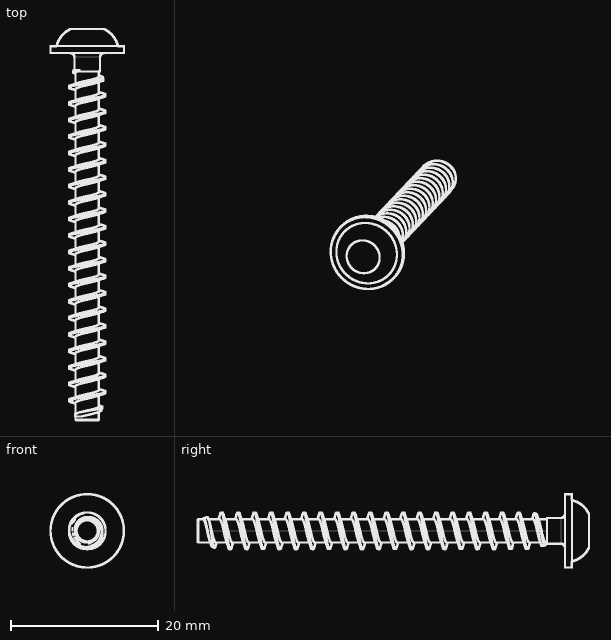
import cadquery as cq

length = 53.3

flange_radius = 5.0
flange_top_depth = 2.35
flange_bottom_depth = 3.3
dome_base_radius = 4.2
dome_top_radius = 2.3
dome_mid_radius = 3.7

shank_radius = 1.75
shank_end_depth = 5.75
neck_fillet = 0.55

core_radius = 1.6
tip_chamfer = 0.15

thread_radius = 2.5
pitch = 42.65 / 19
helix_start_depth = 4.55
helix_turns = 22
thread_root_width = 0.65
thread_crest_width = 0.15
root_overlap = 0.15

run_in_start_depth = 5.6
run_in_radius = 1.85
run_out_end_depth = 52.7
envelope_clearance = 0.25


def revolve_about_screw_axis(outline):
    return outline.close().revolve(360, (0, 0, 0), (0, 1, 0))


def make_blank():
    """Head, neck fillet, shank and core as one turned body."""
    neck_end_depth = flange_bottom_depth + neck_fillet
    fillet_centre = (shank_radius + neck_fillet, -neck_end_depth)
    fillet_reach = neck_fillet * 0.5**0.5
    fillet_mid = (fillet_centre[0] - fillet_reach, fillet_centre[1] + fillet_reach)
    outline = (
        cq.Workplane("XY")
        .lineTo(dome_top_radius, 0)
        .threePointArc(
            (dome_mid_radius, -flange_top_depth / 2),
            (dome_base_radius, -flange_top_depth),
        )
        .lineTo(flange_radius, -flange_top_depth)
        .lineTo(flange_radius, -flange_bottom_depth)
        .lineTo(fillet_centre[0], -flange_bottom_depth)
        .threePointArc(fillet_mid, (shank_radius, -neck_end_depth))
        .lineTo(shank_radius, -shank_end_depth)
        .lineTo(core_radius, -shank_end_depth)
        .lineTo(core_radius, -length + tip_chamfer)
        .lineTo(core_radius - tip_chamfer, -length)
        .lineTo(0, -length)
    )
    return revolve_about_screw_axis(outline)


def make_thread():
    """Helical ridge, trimmed to a cone at each end."""
    helix = cq.Wire.makeHelix(pitch, pitch * helix_turns, core_radius)
    flank_slope = (thread_root_width - thread_crest_width) / (thread_radius - core_radius)
    half_base = (thread_root_width + flank_slope * root_overlap) / 2
    half_crest = thread_crest_width / 2
    base_radius = core_radius - root_overlap
    ridge = (
        cq.Workplane("XZ")
        .moveTo(base_radius, -half_base)
        .lineTo(thread_radius, -half_crest)
        .lineTo(thread_radius, half_crest)
        .lineTo(base_radius, half_base)
        .close()
        .sweep(cq.Workplane(helix), isFrenet=True)
        .rotate((0, 0, 0), (1, 0, 0), 90)
        .translate((0, -helix_start_depth, 0))
    )
    envelope_radius = thread_radius + envelope_clearance
    run_in_rate = pitch / (thread_radius - run_in_radius)
    run_out_rate = pitch / (thread_radius - core_radius)
    envelope = revolve_about_screw_axis(
        cq.Workplane("XY")
        .moveTo(0, -run_in_start_depth)
        .lineTo(run_in_radius, -run_in_start_depth)
        .lineTo(envelope_radius, -run_in_start_depth - run_in_rate * (envelope_radius - run_in_radius))
        .lineTo(envelope_radius, -run_out_end_depth + run_out_rate * (envelope_radius - core_radius))
        .lineTo(core_radius, -run_out_end_depth)
        .lineTo(0, -run_out_end_depth)
    )
    return ridge.intersect(envelope)


result = make_blank().union(make_thread())